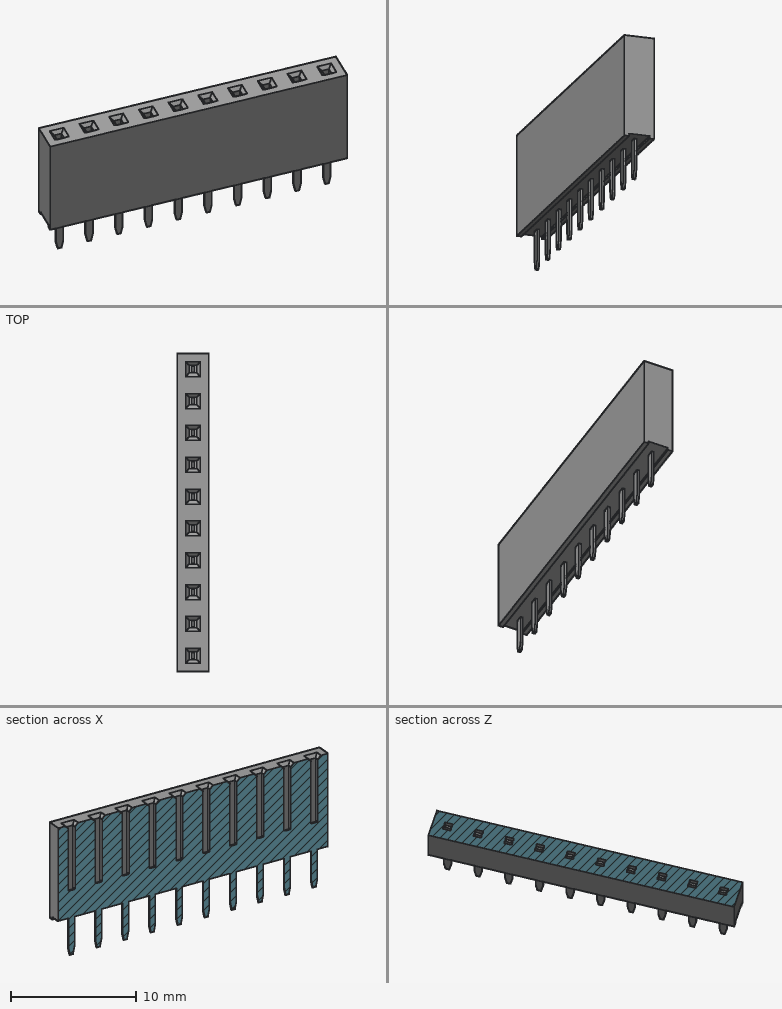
import cadquery as cq

contact_count = 10
body_length = 25.4
body_width = 2.55
body_height = 8.5
total_height = 11.6
pitch = body_length / contact_count

rail_width = 0.4
rail_height = 0.2

mouth_size = 1.2
shaft_size = 0.6
mouth_depth = (mouth_size - shaft_size) / 2
shaft_depth = 6.35

pin_width = 0.6
pin_thickness = 0.2
tip_width = 0.3
tip_length = 0.69
horn_width = 0.064
horn_height = horn_width
pin_reach = 0.5

socket_floor = body_height - shaft_depth
pin_bottom = body_height - total_height
pin_top = socket_floor + pin_reach
first_contact_y = -(contact_count - 1) * pitch / 2


def make_body():
    block = cq.Workplane("XY").box(body_width, body_length, body_height, centered=(True, True, False))
    groove_width = body_width - 2 * rail_width
    groove = cq.Workplane("XY").box(groove_width, body_length, rail_height, centered=(True, True, False))
    return block.cut(groove)


def make_socket():
    mouth = (
        cq.Workplane("XY", origin=(0, 0, body_height))
        .rect(mouth_size, mouth_size)
        .workplane(offset=-mouth_depth)
        .rect(shaft_size, shaft_size)
        .loft(ruled=True)
    )
    shaft = (
        cq.Workplane("XY", origin=(0, 0, socket_floor))
        .rect(shaft_size, shaft_size)
        .extrude(shaft_depth - mouth_depth)
    )
    return mouth.union(shaft)


def make_pin():
    taper_start = pin_bottom + tip_length
    return (
        cq.Workplane("YZ")
        .moveTo(-tip_width / 2, pin_bottom)
        .lineTo(tip_width / 2, pin_bottom)
        .lineTo(pin_width / 2, taper_start)
        .lineTo(pin_width / 2, pin_top + horn_height)
        .lineTo(pin_width / 2 - horn_width, pin_top)
        .lineTo(horn_width - pin_width / 2, pin_top)
        .lineTo(-pin_width / 2, pin_top + horn_height)
        .lineTo(-pin_width / 2, taper_start)
        .close()
        .extrude(pin_thickness / 2, both=True)
    )


socket = make_socket().val()
pin = make_pin().val()

result = make_body()
for i in range(contact_count):
    position = cq.Vector(0, first_contact_y + i * pitch, 0)
    result = result.cut(cq.Workplane(socket.translate(position)))
    result = result.union(cq.Workplane(pin.translate(position)))